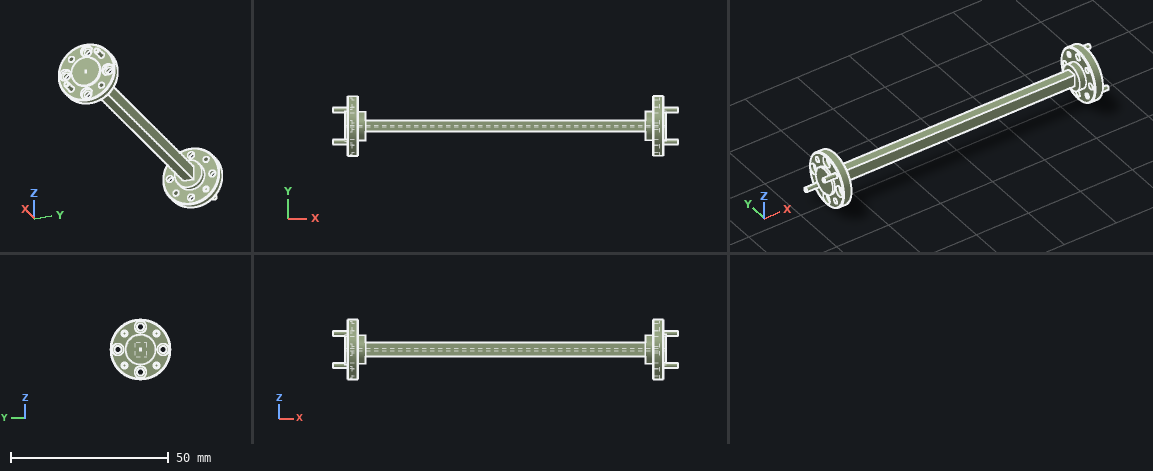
import cadquery as cq
import math

LENGTH = 109.4
TUBE_LENGTH = 88.6
TUBE_WIDTH = 3.5
TUBE_HEIGHT = 4.5
APERTURE_WIDTH = 0.3
APERTURE_HEIGHT = 0.71
BOSS_FACE_SPAN = 101.7
BOSS_DIAMETER = 9.5
BOSS_HEIGHT = 0.82
COLLAR_DIAMETER = 9.2
COLLAR_LENGTH = 2.4
FLANGE_DIAMETER = 19.0
FLANGE_CHAMFER = 0.27
HOLE_CIRCLE_DIAMETER = 14.3
SCREW_HOLE_DIAMETER = 2.2
COUNTERBORE_DIAMETER = 3.7
COUNTERBORE_DEPTH = 1.3
DOWEL_HOLE_DIAMETER = 1.9
PIN_DIAMETER = 1.6
PIN_CHAMFER = 0.2

COLLAR_BACK_X = TUBE_LENGTH / 2
FLANGE_BACK_X = COLLAR_BACK_X + COLLAR_LENGTH
FLANGE_FACE_X = BOSS_FACE_SPAN / 2 - BOSS_HEIGHT
FLANGE_THICKNESS = FLANGE_FACE_X - FLANGE_BACK_X
PIN_LENGTH = LENGTH / 2 - FLANGE_BACK_X

SCREW_ANGLES = (0, 90, 180, 270)
DOWEL_HOLE_ANGLES = (45, 135, 225, 315)
PIN_ANGLES = (45, 225)


def circle_points(angles):
    """Points (Y, Z) on the hole circle."""
    radius = HOLE_CIRCLE_DIAMETER / 2
    return [
        (radius * math.cos(math.radians(angle)), radius * math.sin(math.radians(angle)))
        for angle in angles
    ]


def cylinders(start_x, length, diameter, points=((0, 0),)):
    """Cylinders along +X, one at each (Y, Z) point."""
    plane = cq.Workplane("YZ", origin=(start_x, 0, 0))
    return plane.pushPoints(points).circle(diameter / 2).extrude(length)


def end_at_minus_x(shape):
    """The -X copy of a +X end: half a turn about the vertical axis."""
    return shape.rotate((0, 0, 0), (0, 0, 1), 180)


def make_flange_blank():
    """Undrilled +X flange with its raised face and rear collar."""
    disc = cylinders(FLANGE_BACK_X, FLANGE_THICKNESS, FLANGE_DIAMETER)
    disc = disc.faces("<X or >X").edges().chamfer(FLANGE_CHAMFER)
    collar = cylinders(COLLAR_BACK_X, COLLAR_LENGTH, COLLAR_DIAMETER)
    boss = cylinders(FLANGE_FACE_X, BOSS_HEIGHT, BOSS_DIAMETER)
    return disc.union(collar).union(boss)


def make_flange():
    """+X flange with counterbored screw holes and plain dowel holes."""
    screw_points = circle_points(SCREW_ANGLES)
    dowel_points = circle_points(DOWEL_HOLE_ANGLES)
    counterbore_floor_x = FLANGE_FACE_X - COUNTERBORE_DEPTH

    screw_holes = cylinders(FLANGE_BACK_X, FLANGE_THICKNESS, SCREW_HOLE_DIAMETER, screw_points)
    counterbores = cylinders(counterbore_floor_x, COUNTERBORE_DEPTH, COUNTERBORE_DIAMETER, screw_points)
    dowel_holes = cylinders(FLANGE_BACK_X, FLANGE_THICKNESS, DOWEL_HOLE_DIAMETER, dowel_points)
    return make_flange_blank().cut(screw_holes).cut(counterbores).cut(dowel_holes)


def make_waveguide():
    """Rectangular tube with a flange at each end and the aperture right through."""
    tube = cq.Workplane("XY").box(TUBE_LENGTH, TUBE_WIDTH, TUBE_HEIGHT)
    aperture = cq.Workplane("XY").box(BOSS_FACE_SPAN, APERTURE_WIDTH, APERTURE_HEIGHT)
    flange = make_flange()
    return tube.union(flange).union(end_at_minus_x(flange)).cut(aperture)


def make_pin(point):
    """Dowel pin of the +X flange: flush with the flange back, chamfered at both ends."""
    pin = cylinders(FLANGE_BACK_X, PIN_LENGTH, PIN_DIAMETER, [point])
    return pin.faces("<X or >X").edges().chamfer(PIN_CHAMFER)


waveguide = make_waveguide()

pins = []
for pin_point in circle_points(PIN_ANGLES):
    pin = make_pin(pin_point)
    pins.append(pin.val())
    pins.append(end_at_minus_x(pin).val())

result = cq.Compound.makeCompound([waveguide.val(), *pins])